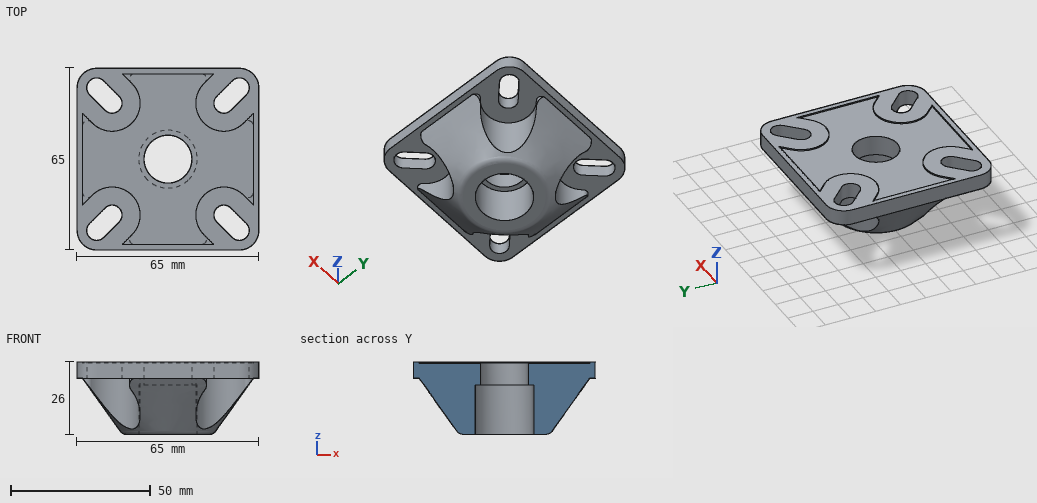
import cadquery as cq
import math

plate_side = 65.0
plate_thickness = 6.0
corner_radius = 7.0
total_height = 26.0
plate_bottom = total_height - plate_thickness

rim_width = 2.0
recess_depth = 0.5
pad_radius = 10.0

slot_radius = 3.5
slot_inner = 19.95
slot_outer = 25.5

hub_half_width = plate_side / 2 - rim_width
hub_bottom_radius = 16.25
hub_edge_radius = 2.7
relief_edge_radius = 1.8
slope_angle = math.atan2(plate_bottom, hub_half_width - hub_bottom_radius)
foot_height = hub_edge_radius * (1 - math.cos(slope_angle))
foot_radius = hub_bottom_radius + foot_height / math.tan(slope_angle)

bore_diameter = 17.0
bore_depth = 7.8
socket_diameter = 20.8

OVERCUT = 0.65
corner_angles = [45, 135, 225, 315]


def corner_slots(radius, outer_offset, bottom, height):
    """Four rounded diagonal prisms, one on each corner of the plate."""
    inner = slot_inner * math.sqrt(2)
    outer = outer_offset * math.sqrt(2)
    prisms = cq.Workplane("XY")
    for angle in corner_angles:
        prism = (
            cq.Workplane("XY", origin=(0, 0, bottom))
            .center((inner + outer) / 2, 0)
            .slot2D(outer - inner + 2 * radius, 2 * radius)
            .extrude(height)
            .rotate((0, 0, 0), (0, 0, 1), angle)
        )
        prisms = prisms.add(prism)
    return prisms.combine()


def make_plate():
    return (
        cq.Workplane("XY", origin=(0, 0, plate_bottom))
        .rect(plate_side, plate_side)
        .extrude(plate_thickness)
        .edges("|Z")
        .fillet(corner_radius)
    )


def make_pocket_outline(bottom, height):
    """Square prism inside the rim with the four pads cut out of its corners."""
    side = plate_side - 2 * rim_width
    prism = (
        cq.Workplane("XY", origin=(0, 0, bottom))
        .rect(side, side)
        .extrude(height)
    )
    return prism.cut(corner_slots(pad_radius, plate_side / 2, bottom, height))


def make_recess():
    return make_pocket_outline(total_height - recess_depth, recess_depth + OVERCUT)


def make_foot():
    """Rounded lower end of the hub, tangent to its flat bottom and sloping sides."""
    half_angle = slope_angle / 2
    arc_start = foot_radius - hub_edge_radius * math.sin(slope_angle)
    arc_middle = (
        arc_start + hub_edge_radius * math.sin(half_angle),
        hub_edge_radius * (1 - math.cos(half_angle)),
    )
    return (
        cq.Workplane("XZ")
        .lineTo(arc_start, 0)
        .threePointArc(arc_middle, (foot_radius, foot_height))
        .lineTo(0, foot_height)
        .close()
        .revolve(360, (0, 0), (0, 1))
    )


def square_corners(half_width):
    return [
        (half_width, half_width),
        (-half_width, half_width),
        (-half_width, -half_width),
        (half_width, -half_width),
    ]


def make_flare():
    """Body blending from the round foot to a square under the plate."""
    diagonal = foot_radius / math.sqrt(2)
    corners = square_corners(diagonal)
    middles = [(0, foot_radius), (-foot_radius, 0), (0, -foot_radius), (foot_radius, 0)]
    flare = cq.Workplane("XY", origin=(0, 0, foot_height)).moveTo(*corners[0])
    for middle, end in zip(middles, corners[1:] + corners[:1]):
        flare = flare.threePointArc(middle, end)
    return (
        flare.close()
        .workplane(offset=plate_bottom - foot_height)
        .polyline(square_corners(hub_half_width))
        .close()
        .loft(ruled=True)
    )


def make_hub():
    """Flared hub, relieved vertically under the pads, with rounded relief edges."""
    relieved_prism = make_pocket_outline(0, plate_bottom)
    for sides in ("<Y or >Y", "<X or >X"):
        relieved_prism = relieved_prism.edges("|Z").edges(sides).fillet(relief_edge_radius)
    return make_foot().union(make_flare()).intersect(relieved_prism)


socket_height = total_height - recess_depth - bore_depth
bore = cq.Workplane("XY").circle(bore_diameter / 2).extrude(total_height)
socket = cq.Workplane("XY").circle(socket_diameter / 2).extrude(socket_height)

result = (
    make_plate()
    .union(make_hub())
    .cut(make_recess())
    .cut(corner_slots(slot_radius, slot_outer, plate_bottom, plate_thickness))
    .cut(bore)
    .cut(socket)
)